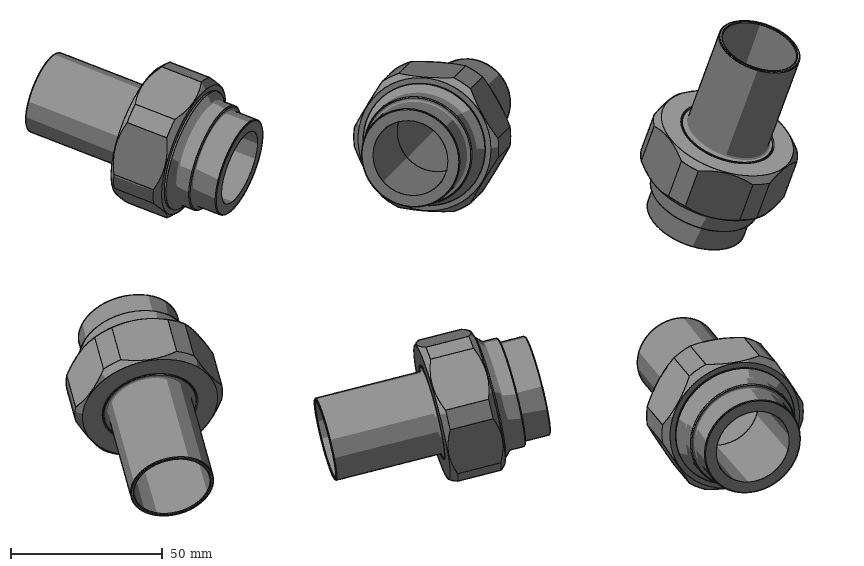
import cadquery as cq
import math


TOTAL_LENGTH = 72.5
NUT_START = 36.55
NUT_LENGTH = 18.85
NUT_END = NUT_START + NUT_LENGTH
LIP_THICKNESS = 2.9
LIP_END = NUT_START + LIP_THICKNESS
FLANGE_THICKNESS = 3.6
JOINT_X = LIP_END + FLANGE_THICKNESS

BORE_D = 25.6
EDGE_CHAMFER = 0.3

TAIL_D = 28.0
TAIL_FILLET = 0.9
COLLAR_D = 31.0
FLANGE_D = 38.0

NUT_ACROSS_FLATS = 46.0
NUT_CORNER_D = 49.65
NUT_FACE_D = 45.5
LIP_BORE_D = 31.5
LIP_CHAMFER = 0.35
NUT_BORE_D = 38.9

SHOULDER_D = 41.75
SHOULDER_LENGTH = 0.65
NECK_D = 37.0
NECK_END = 63.6
NECK_FILLET = 0.7
NECK_CHAMFER = 0.35
SPIGOT_D = 33.7
SPIGOT_FILLET = 0.4


def cylinder(start, end, diameter):
    """Solid cylinder on the X axis between two positions."""
    return cq.Workplane("YZ", origin=(start, 0, 0)).circle(diameter / 2).extrude(end - start)


def revolve_about_x(profile):
    """Turn a closed profile, drawn as X against radius, around the X axis."""
    return profile.close().revolve(360, (0, 0, 0), (1, 0, 0))


def make_tail_pipe():
    bore_r = BORE_D / 2
    pipe_r = TAIL_D / 2
    fillet_start = NUT_START - TAIL_FILLET
    fillet_top_r = pipe_r + TAIL_FILLET
    fillet_middle = (
        fillet_start + TAIL_FILLET * math.sin(math.pi / 4),
        fillet_top_r - TAIL_FILLET * math.cos(math.pi / 4),
    )
    profile = (
        cq.Workplane("XY")
        .moveTo(EDGE_CHAMFER, bore_r)
        .lineTo(0, bore_r + EDGE_CHAMFER)
        .lineTo(0, pipe_r - EDGE_CHAMFER)
        .lineTo(EDGE_CHAMFER, pipe_r)
        .lineTo(fillet_start, pipe_r)
        .threePointArc(fillet_middle, (NUT_START, fillet_top_r))
        .lineTo(NUT_START, COLLAR_D / 2)
        .lineTo(LIP_END, COLLAR_D / 2)
        .lineTo(LIP_END, FLANGE_D / 2)
        .lineTo(JOINT_X, FLANGE_D / 2)
        .lineTo(JOINT_X, bore_r)
    )
    return revolve_about_x(profile)


def make_nut_envelope():
    """Round blank with 45 degree chamfers, which bounds the hexagon corners."""
    corner_chamfer = (NUT_CORNER_D - NUT_FACE_D) / 2
    return cylinder(NUT_START, NUT_END, NUT_CORNER_D).edges().chamfer(corner_chamfer)


def make_nut():
    across_corners = NUT_ACROSS_FLATS / math.cos(math.pi / 6)
    hexagon = cq.Workplane("YZ", origin=(NUT_START, 0, 0)).polygon(6, across_corners).extrude(NUT_LENGTH)
    lip_bore = cylinder(NUT_START, LIP_END, LIP_BORE_D)
    main_bore = cylinder(LIP_END, NUT_END, NUT_BORE_D)
    nut = hexagon.intersect(make_nut_envelope()).cut(lip_bore).cut(main_bore)
    lip_edge = cq.selectors.RadiusNthSelector(0)
    return nut.faces("<X").edges("%CIRCLE").edges(lip_edge).chamfer(LIP_CHAMFER)


def make_end_body():
    bore_r = BORE_D / 2
    shoulder_r = SHOULDER_D / 2
    neck_r = NECK_D / 2
    spigot_r = SPIGOT_D / 2
    cone_start = NUT_END + SHOULDER_LENGTH
    cone_end = cone_start + shoulder_r - neck_r

    cone_setback = NECK_FILLET * math.tan(math.pi / 8)
    cone_step = cone_setback * math.cos(math.pi / 4)
    fillet_end = cone_end + cone_setback
    fillet_middle = (
        fillet_end - NECK_FILLET * math.sin(math.pi / 8),
        neck_r + NECK_FILLET * (1 - math.cos(math.pi / 8)),
    )

    spigot_fillet_middle = (
        NECK_END + SPIGOT_FILLET * (1 - math.cos(math.pi / 4)),
        spigot_r + SPIGOT_FILLET * (1 - math.sin(math.pi / 4)),
    )
    profile = (
        cq.Workplane("XY")
        .moveTo(JOINT_X, bore_r)
        .lineTo(JOINT_X, NUT_BORE_D / 2)
        .lineTo(NUT_END, NUT_BORE_D / 2)
        .lineTo(NUT_END, shoulder_r)
        .lineTo(cone_start, shoulder_r)
        .lineTo(cone_end - cone_step, neck_r + cone_step)
        .threePointArc(fillet_middle, (fillet_end, neck_r))
        .lineTo(NECK_END - NECK_CHAMFER, neck_r)
        .lineTo(NECK_END, neck_r - NECK_CHAMFER)
        .lineTo(NECK_END, spigot_r + SPIGOT_FILLET)
        .threePointArc(spigot_fillet_middle, (NECK_END + SPIGOT_FILLET, spigot_r))
        .lineTo(TOTAL_LENGTH - EDGE_CHAMFER, spigot_r)
        .lineTo(TOTAL_LENGTH, spigot_r - EDGE_CHAMFER)
        .lineTo(TOTAL_LENGTH, bore_r)
    )
    return revolve_about_x(profile)


tail_pipe = make_tail_pipe()
nut = make_nut()
end_body = make_end_body()

result = cq.Compound.makeCompound([tail_pipe.val(), nut.val(), end_body.val()])